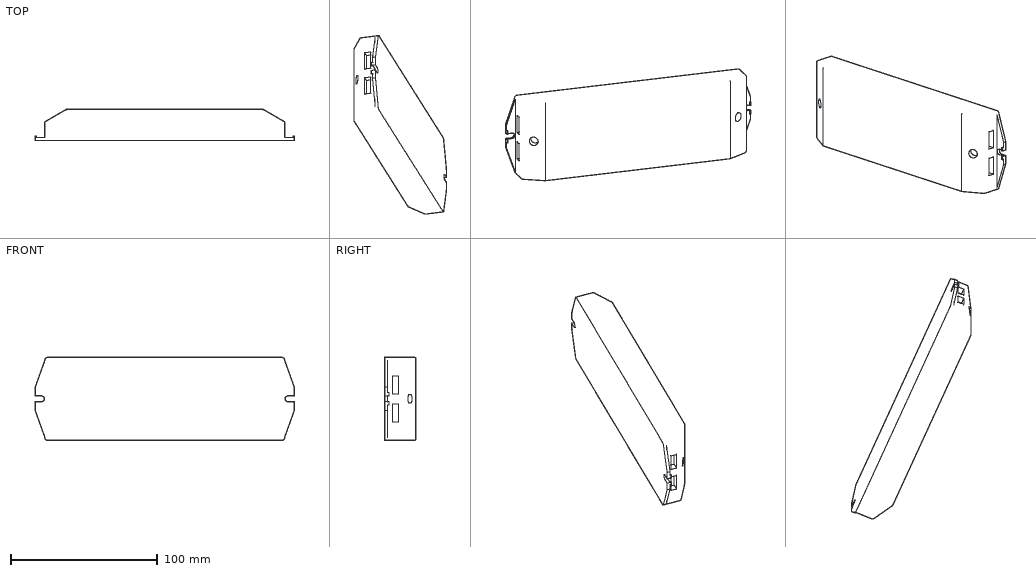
import cadquery as cq

length = 177.5
depth = 21.5
width = 57.0

flange_reach = 6.5
flange_thickness = 2.1
flange_tip_width = 16.0
slot_width = 3.9
slot_length = 6.2
lip_height = 1.0
lip_length = 0.9
lip_width = 8.7

body_length = length - 2 * flange_reach
corner_radius = 2.1
slope_start = 12.8
slope_run = 14.9
slope_rise = depth - slope_start
edge_round = 1.0

pocket_height = 4.3
pocket_width = 12.5
pocket_depth = 4.5
pocket_center_y = 7.5
pocket_center_z = 9.5

hole_diameter = 6.0
hole_center_y = 17.4
hole_depth = 5.3

body_end = body_length / 2
flange_end = length / 2


def box(x_range, y_range, z_range):
    """Block between the given limits on each axis."""
    size = [high - low for low, high in (x_range, y_range, z_range)]
    return (
        cq.Workplane("XY")
        .box(*size, centered=False)
        .translate((x_range[0], y_range[0], z_range[0]))
    )


def mirrored_pair(feature):
    """The feature at the -X end joined with its mirror image at the +X end."""
    return feature.union(feature.mirror("YZ"))


def make_housing():
    crest = body_end - slope_run
    housing = (
        cq.Workplane("XY")
        .polyline([
            (-body_end, 0),
            (body_end, 0),
            (body_end, slope_start),
            (crest, depth),
            (-crest, depth),
            (-body_end, slope_start),
        ])
        .close()
        .extrude(width / 2, both=True)
    )
    housing = housing.edges("|Y").fillet(corner_radius)

    return housing.edges("not (|Y or <Y or (>Y and |Z))").fillet(edge_round)


def make_flange():
    root_half_width = width / 2 - corner_radius
    tip_half_width = flange_tip_width / 2
    root_x = -body_end + corner_radius
    plate = (
        cq.Workplane("XZ")
        .polyline([
            (-flange_end, -tip_half_width),
            (-body_end, -root_half_width),
            (root_x, -root_half_width),
            (root_x, root_half_width),
            (-body_end, root_half_width),
            (-flange_end, tip_half_width),
        ])
        .close()
        .extrude(-flange_thickness)
    )
    lip = box(
        (-flange_end, -flange_end + lip_length),
        (0, flange_thickness + lip_height),
        (-lip_width / 2, lip_width / 2),
    )
    return plate.union(lip)


def make_slot():
    slot_end = -flange_end + slot_length
    arc_start = slot_end - slot_width / 2
    return (
        cq.Workplane("XZ")
        .moveTo(-flange_end, -slot_width / 2)
        .lineTo(arc_start, -slot_width / 2)
        .threePointArc((slot_end, 0), (arc_start, slot_width / 2))
        .lineTo(-flange_end, slot_width / 2)
        .close()
        .extrude(-(flange_thickness + lip_height))
    )


def make_end_pockets():
    return (
        cq.Workplane("YZ", origin=(-body_end, 0, 0))
        .pushPoints([(pocket_center_y, side * pocket_center_z) for side in (-1, 1)])
        .rect(pocket_height, pocket_width)
        .extrude(pocket_depth)
    )


def make_slope_hole():
    inward_share = (hole_center_y - slope_start) / slope_rise
    slope_plane = cq.Plane(
        origin=(-body_end + slope_run * inward_share, hole_center_y, 0),
        xDir=(0, 0, 1),
        normal=(-slope_rise, slope_run, 0),
    )
    return cq.Workplane(slope_plane).circle(hole_diameter / 2).extrude(-hole_depth)


result = (
    make_housing()
    .union(mirrored_pair(make_flange()))
    .cut(mirrored_pair(make_slot()))
    .cut(mirrored_pair(make_end_pockets()))
    .cut(mirrored_pair(make_slope_hole()))
)